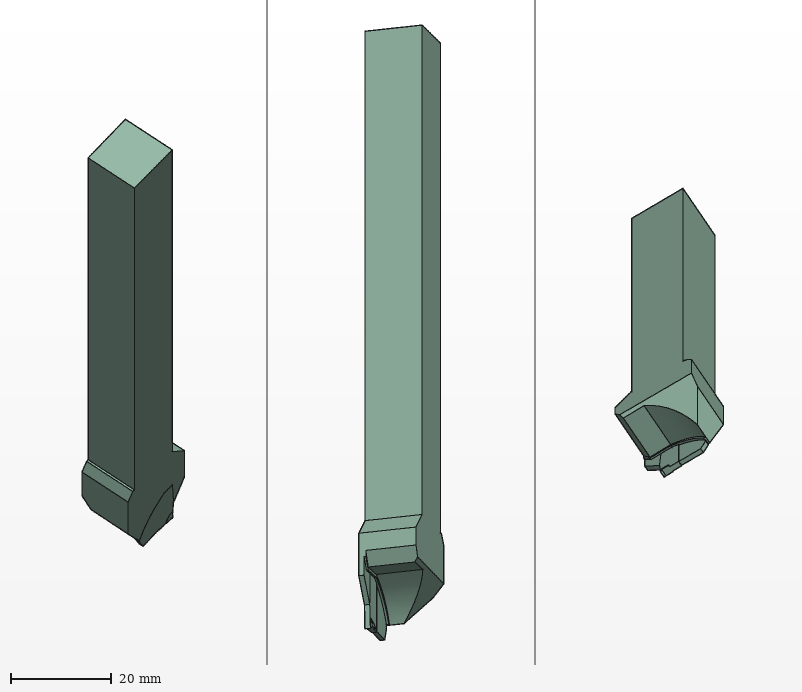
import cadquery as cq
import math

LENGTH = 125.0
SHANK = 12.0
SIDE_DRAFT = 0.2
HEAD_FRONT = -2.0
HEAD_BACK = 15.9
SHOULDER_Z = 22.6
SHOULDER_LEDGE = 0.5
FRONT_CHAMFER_Z = 20.6
TAPER_Z = 9.9
FRONT_TOE_Y = 1.2
TOE_Z = 4.0
BACK_TOE_Y = 12.4
BACK_TOE_Z = 4.9

SLOPE_TOP_Z = 12.9
SLOPE_TOE_X = 7.5

CLEARANCE_TOP_Z = 12.0
CLEARANCE_BACK_Z = 15.0
CLEARANCE_RISE_Y = 14.4
ARC_START_Y = 9.5
ARC_MIDDLE = (4.8, 8.9)
LEDGE_WIDTH = 0.6
LEDGE_X = 10.5

PLATE_X = 10.9
INSERT_BACK_Y = SHANK
STRIP_FRONT_Y = 7.9
STRIP_BOTTOM_Z = 0.5
HEEL_BOTTOM_Z = 0.8
HEEL_RELIEF = 0.1
HEEL_FRONT = (2.8, 0.5)
TIP_LAND = 0.4
FLARE_RADIUS = 2.1
FLARE_X = 10.5
FLARE_Z = 0.9
OVERHANG_X = 12.1

BELOW = -1.2
MARGIN = 1.2


def slab(outline, x_start, x_end):
    """Extrude a closed YZ outline between two X positions."""
    return outline.extrude(x_end - x_start).translate((x_start, 0, 0))


def seat_outline(inset):
    """Area under the clearance curve, drawn in by the given inset."""
    top = CLEARANCE_TOP_Z - inset
    toe = (FRONT_TOE_Y + inset / 2, TOE_Z - inset / 2)
    middle = (ARC_MIDDLE[0] + inset * math.sqrt(0.5), ARC_MIDDLE[1] - inset * math.sqrt(0.5))
    return (
        cq.Workplane("YZ")
        .moveTo(HEAD_BACK, BELOW)
        .lineTo(HEAD_BACK, CLEARANCE_BACK_Z - 2 * inset)
        .lineTo(CLEARANCE_RISE_Y, top)
        .lineTo(ARC_START_Y, top)
        .threePointArc(middle, toe)
        .lineTo(toe[0], BELOW)
        .close()
    )


def insert_outline():
    """Outer shape of the insert, reaching past its curved upper edge."""
    return cq.Workplane("YZ").polyline([
        (INSERT_BACK_Y, 0),
        (INSERT_BACK_Y - TIP_LAND, STRIP_BOTTOM_Z),
        (STRIP_FRONT_Y, STRIP_BOTTOM_Z),
        (STRIP_FRONT_Y, HEEL_BOTTOM_Z),
        HEEL_FRONT,
        (FRONT_TOE_Y, TOE_Z),
        (FRONT_TOE_Y, CLEARANCE_TOP_Z),
        (INSERT_BACK_Y, CLEARANCE_TOP_Z),
        (BACK_TOE_Y, BACK_TOE_Z),
    ]).close()


def heel_clearance():
    """Thin slice that the heel of the insert lies behind."""
    slice_area = cq.Workplane("YZ").rect(STRIP_FRONT_Y, CLEARANCE_TOP_Z, centered=False)
    heel_face_x = PLATE_X + HEEL_RELIEF
    seat = slab(seat_outline(LEDGE_WIDTH), PLATE_X, heel_face_x)
    return slab(slice_area, PLATE_X, heel_face_x).intersect(seat)


def make_insert():
    plate = slab(insert_outline(), PLATE_X, SHANK)
    plate = plate.intersect(slab(seat_outline(LEDGE_WIDTH), PLATE_X, SHANK))
    plate = plate.cut(heel_clearance())

    flare = (
        cq.Workplane("XZ", origin=(0, INSERT_BACK_Y, 0))
        .polyline([
            (PLATE_X, 0),
            (FLARE_X, TIP_LAND),
            (FLARE_X, FLARE_Z),
            (PLATE_X, FLARE_RADIUS),
            (SHANK, FLARE_RADIUS),
            (OVERHANG_X, FLARE_Z),
            (OVERHANG_X, TIP_LAND),
            (SHANK, 0),
        ])
        .close()
        .extrude(FLARE_RADIUS)
    )
    corner = cq.Workplane("YZ").center(INSERT_BACK_Y, 0).circle(FLARE_RADIUS)
    flare = flare.intersect(slab(corner, FLARE_X, OVERHANG_X))
    flare_trim = slab(insert_outline(), FLARE_X, OVERHANG_X)
    return plate.union(flare.intersect(flare_trim))


def make_holder(insert):
    back_chamfer = HEAD_BACK - SHANK
    outline = cq.Workplane("YZ").polyline([
        (0, LENGTH),
        (SHANK, LENGTH),
        (SHANK, SHOULDER_Z),
        (HEAD_BACK, SHOULDER_Z - back_chamfer),
        (HEAD_BACK, TAPER_Z),
        (BACK_TOE_Y, BACK_TOE_Z),
        (FRONT_TOE_Y, TOE_Z),
        (HEAD_FRONT, TAPER_Z),
        (HEAD_FRONT, FRONT_CHAMFER_Z),
        (-SHOULDER_LEDGE, SHOULDER_Z),
        (0, SHOULDER_Z),
    ]).close()
    holder = slab(outline, 0, SHANK)

    side_wedge = (
        cq.Workplane("XY")
        .polyline([(0, HEAD_FRONT), (SIDE_DRAFT, HEAD_FRONT), (0, HEAD_BACK)])
        .close()
        .extrude(LENGTH)
    )
    holder = holder.cut(side_wedge)

    slope_run = SLOPE_TOE_X / (SLOPE_TOP_Z - TOE_Z)
    slope = (
        cq.Workplane("XZ", origin=(0, HEAD_BACK + MARGIN, 0))
        .polyline([(0, SLOPE_TOP_Z), (slope_run * (SLOPE_TOP_Z - BELOW), BELOW), (0, BELOW)])
        .close()
        .extrude(HEAD_BACK - HEAD_FRONT + 2 * MARGIN)
    )
    holder = holder.cut(slope)

    holder = holder.cut(slab(seat_outline(0), 0, LEDGE_X))
    holder = holder.cut(slab(seat_outline(LEDGE_WIDTH), 0, PLATE_X))
    holder = holder.cut(heel_clearance())
    return holder.cut(insert)


insert = make_insert()
holder = make_holder(insert)
result = cq.Compound.makeCompound([*holder.vals(), *insert.vals()])